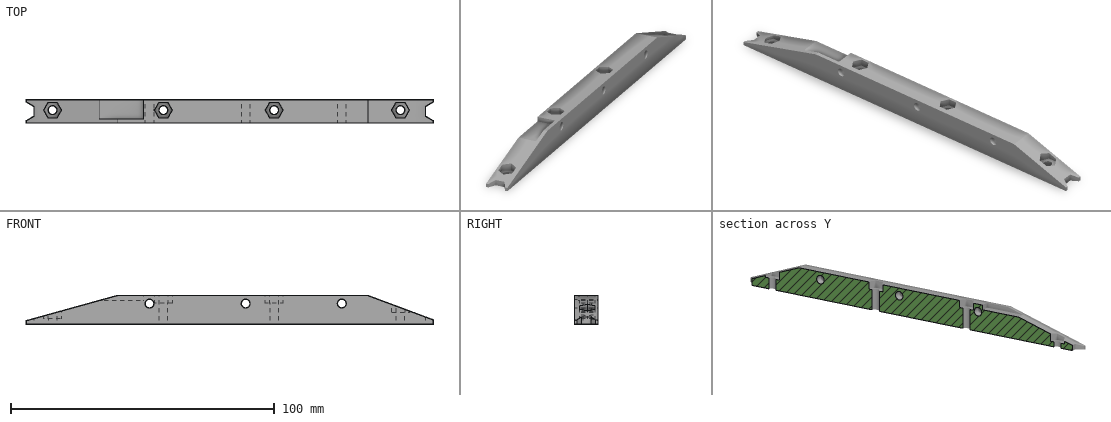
import cadquery as cq

LENGTH = 154.5
WIDTH = 9.0
HEIGHT = 11.0
TIP_HEIGHT_LEFT = 1.4
TIP_HEIGHT_RIGHT = 1.7
RAMP_LEFT_END = 34.6
RAMP_RIGHT_START = 129.6

NOTCH_DEPTH = 3.0
NOTCH_MOUTH = 7.1
NOTCH_FLOOR = 3.7

FRONT_LIP = 1.5
RECESS_DEPTH = 1.9
RECESS_END = 44.5

HOLE_DIAMETER = 3.2
CROSS_HOLE_FIRST_X = 46.8
CROSS_HOLE_SPACING = 36.5
CROSS_HOLE_COUNT = 3
CROSS_HOLE_Z = 7.9
NUT_ACROSS_CORNERS = 6.8
NUT_Y = 5.0
TOP_NUT_FLOOR = 8.2
RAMP_LEFT_NUT_FLOOR = 2.2
RAMP_RIGHT_NUT_FLOOR = 4.5
NUTS = [
    (10.0, RAMP_LEFT_NUT_FLOOR),
    (52.0, TOP_NUT_FLOOR),
    (94.1, TOP_NUT_FLOOR),
    (142.0, RAMP_RIGHT_NUT_FLOOR),
]


def make_bar():
    """Side profile with a ramp at each end, extruded across the width."""
    profile = [
        (0, 0),
        (LENGTH, 0),
        (LENGTH, TIP_HEIGHT_RIGHT),
        (RAMP_RIGHT_START, HEIGHT),
        (RAMP_LEFT_END, HEIGHT),
        (0, TIP_HEIGHT_LEFT),
    ]
    return cq.Workplane("XZ").polyline(profile).close().extrude(-WIDTH)


def make_notch(tip_x, inward):
    """Tapered notch at tip_x; inward is the X direction into the bar."""
    floor_x = tip_x + inward * NOTCH_DEPTH
    middle = WIDTH / 2
    outline = [
        (tip_x, middle - NOTCH_MOUTH / 2),
        (floor_x, middle - NOTCH_FLOOR / 2),
        (floor_x, middle + NOTCH_FLOOR / 2),
        (tip_x, middle + NOTCH_MOUTH / 2),
    ]
    return cq.Workplane("XY").polyline(outline).close().extrude(HEIGHT)


def make_recess():
    """Block above the recess floor, behind the front lip."""
    return cq.Workplane("XY").box(
        RECESS_END, WIDTH - FRONT_LIP, RECESS_DEPTH, centered=False
    ).translate((0, FRONT_LIP, HEIGHT - RECESS_DEPTH))


def make_nut_seat(x, floor_z):
    """Through hole with a hexagonal pocket open upward from floor_z."""
    hole = cq.Workplane("XY").center(x, NUT_Y).circle(HOLE_DIAMETER / 2).extrude(HEIGHT)
    pocket = (
        cq.Workplane("XY", origin=(x, NUT_Y, floor_z))
        .polygon(6, NUT_ACROSS_CORNERS)
        .extrude(HEIGHT - floor_z)
    )
    return hole.union(pocket)


def make_cross_hole(x):
    """Hole through the bar from front to back."""
    return (
        cq.Workplane("XZ")
        .center(x, CROSS_HOLE_Z)
        .circle(HOLE_DIAMETER / 2)
        .extrude(-WIDTH)
    )


result = make_bar()
result = result.cut(make_notch(0, 1))
result = result.cut(make_notch(LENGTH, -1))
result = result.cut(make_recess())

for nut_x, nut_floor in NUTS:
    result = result.cut(make_nut_seat(nut_x, nut_floor))

for index in range(CROSS_HOLE_COUNT):
    result = result.cut(make_cross_hole(CROSS_HOLE_FIRST_X + index * CROSS_HOLE_SPACING))